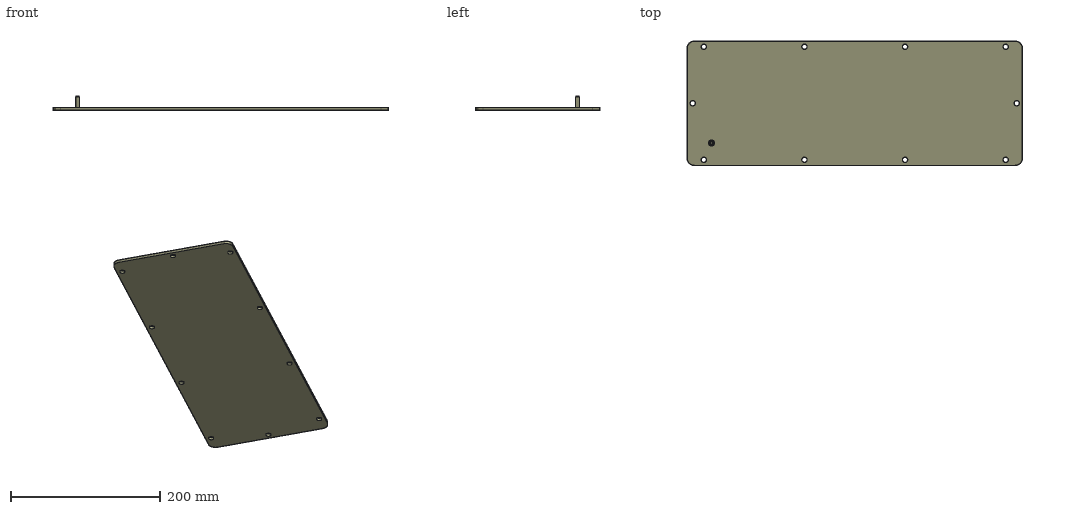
import cadquery as cq

plate_length = 450.0
plate_width = 167.0
plate_thickness = 4.0
corner_radius = 10.0

hole_diameter = 6.8
hole_edge_distance = 7.5
hole_pitch = 135.0
holes_per_row = 4

overall_height = 19.0
stud_diameter = 5.5
stud_chamfer = 1.0
stud_from_left = 33.0
stud_from_front = 30.0
recess_diameter = 8.0
recess_depth = 1.5


def make_plate():
    plate = cq.Workplane("XY").box(
        plate_length, plate_width, plate_thickness, centered=(True, True, False)
    )
    return plate.edges("|Z").fillet(corner_radius)


def hole_positions():
    row_y = plate_width / 2 - hole_edge_distance
    end_x = plate_length / 2 - hole_edge_distance
    first_x = -hole_pitch * (holes_per_row - 1) / 2
    points = [(-end_x, 0), (end_x, 0)]
    for index in range(holes_per_row):
        x = first_x + index * hole_pitch
        points += [(x, -row_y), (x, row_y)]
    return points


def cylinder_at_stud(diameter, bottom, top):
    x = stud_from_left - plate_length / 2
    y = stud_from_front - plate_width / 2
    base = cq.Workplane("XY", origin=(x, y, bottom))
    return base.circle(diameter / 2).extrude(top - bottom)


def make_stud(bottom):
    stud = cylinder_at_stud(stud_diameter, bottom, overall_height)
    return stud.faces(">Z").chamfer(stud_chamfer)


plate = make_plate()
plate = plate.faces(">Z").workplane().pushPoints(hole_positions()).hole(hole_diameter)

recess_floor = plate_thickness - recess_depth
recess = cylinder_at_stud(recess_diameter, recess_floor, plate_thickness)
result = plate.cut(recess).union(make_stud(recess_floor))